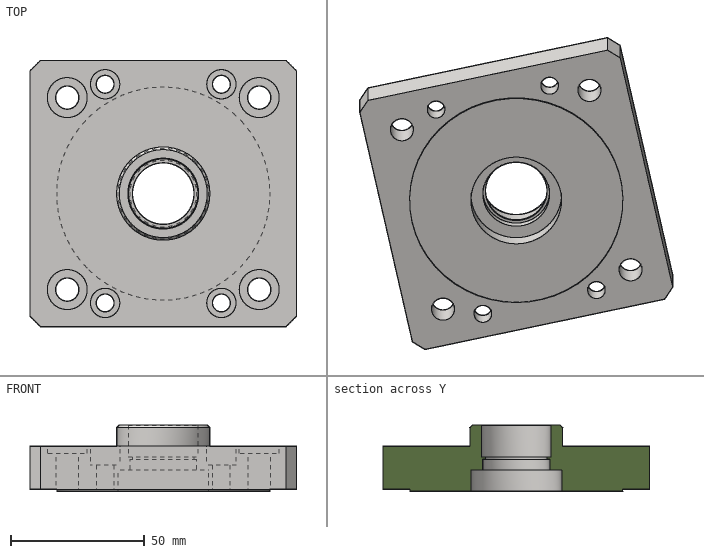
import cadquery as cq

plate_side = 100.0
plate_thickness = 16.2
corner_chamfer = 4.0

pad_diameter = 80.0
pad_height = 0.8
plate_top = pad_height + plate_thickness

boss_diameter = 35.0
boss_height = 8.0
boss_chamfer = 1.0
boss_top = plate_top + boss_height
bore_diameter = 23.0
bore_seat_diameter = 26.0
bore_seat_depth = 12.0
bore_chamfer = 0.3

bore_relief_diameter = 25.0
bore_shoulder_thickness = 1.0
bore_relief_height = boss_top - bore_seat_depth - bore_shoulder_thickness

lower_seat_diameter = 34.0
lower_seat_depth = 8.0

corner_hole_spacing = 72.0
corner_hole_diameter = 8.6
corner_counterbore_diameter = 15.0
corner_counterbore_depth = 2.8

edge_hole_spacing_x = 43.6
edge_hole_spacing_y = 82.0
edge_hole_diameter = 6.6
edge_counterbore_diameter = 11.0
edge_counterbore_depth = 7.0


def make_plate():
    plate = cq.Workplane("XY").workplane(offset=pad_height).rect(plate_side, plate_side)
    return plate.extrude(plate_thickness).edges("|Z").chamfer(corner_chamfer)


def make_pad():
    return cq.Workplane("XY").circle(pad_diameter / 2).extrude(plate_top)


def make_boss():
    boss = cq.Workplane("XY").circle(boss_diameter / 2).extrude(boss_top)
    return boss.faces(">Z").edges().chamfer(boss_chamfer)


def cut_bore(body):
    """Cut the bore from both ends, leaving a shoulder, and break the edge at its mouth."""
    body = body.cut(cq.Workplane("XY").circle(bore_relief_diameter / 2).extrude(bore_relief_height))
    body = body.cut(cq.Workplane("XY").circle(lower_seat_diameter / 2).extrude(lower_seat_depth))
    body = body.faces(">Z").workplane(origin=(0, 0, boss_top)).cboreHole(
        bore_diameter, bore_seat_diameter, bore_seat_depth
    )
    return body.faces(">Z").edges("%CIRCLE").edges(
        cq.selectors.RadiusNthSelector(0)
    ).chamfer(bore_chamfer)


def cut_screw_holes(body, spacing_x, spacing_y, diameter, counterbore_diameter, counterbore_depth):
    """Cut four counterbored through holes at the corners of a centred rectangle."""
    return (
        body.copyWorkplane(cq.Workplane("XY", origin=(0, 0, plate_top)))
        .rect(spacing_x, spacing_y, forConstruction=True)
        .vertices()
        .cboreHole(diameter, counterbore_diameter, counterbore_depth)
    )


result = make_plate().union(make_pad()).union(make_boss())
result = cut_bore(result)
result = cut_screw_holes(
    result,
    corner_hole_spacing,
    corner_hole_spacing,
    corner_hole_diameter,
    corner_counterbore_diameter,
    corner_counterbore_depth,
)
result = cut_screw_holes(
    result,
    edge_hole_spacing_x,
    edge_hole_spacing_y,
    edge_hole_diameter,
    edge_counterbore_diameter,
    edge_counterbore_depth,
)